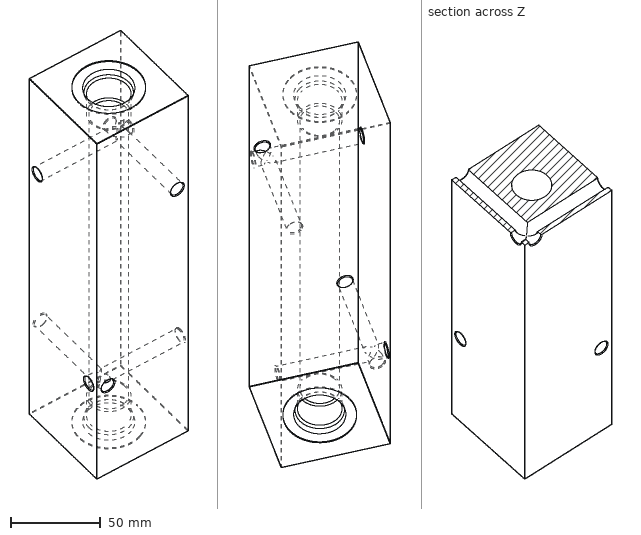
import cadquery as cq
import math

length = 266.7
width = 63.5
edge_chamfer = 0.3

spotface_diameter = 41.0
spotface_depth = 0.8
seat_mouth_diameter = 29.0
seat_floor_diameter = 27.5
seat_depth = 3.5
thread_diameter = 24.8
thread_depth = 21.3
bore_diameter = 22.1
drill_tip_angle = 118.0

cross_hole_diameter = 8.5
cross_hole_mouth_diameter = 9.5
cross_hole_offset = 24.0
cross_hole_height = 63.5


def port_cutter():
    """Revolved profile of the through bore with a port at each end."""
    thread_chamfer = (seat_floor_diameter - thread_diameter) / 2
    tip_width = (thread_diameter - bore_diameter) / 2
    tip_height = tip_width / math.tan(math.radians(drill_tip_angle / 2))
    spotface_z = length / 2 - spotface_depth
    seat_z = spotface_z - seat_depth
    thread_end_z = length / 2 - thread_depth
    upper = [
        (bore_diameter / 2, thread_end_z - tip_height),
        (thread_diameter / 2, thread_end_z),
        (thread_diameter / 2, seat_z - thread_chamfer),
        (seat_floor_diameter / 2, seat_z),
        (seat_mouth_diameter / 2, spotface_z),
        (spotface_diameter / 2, spotface_z),
        (spotface_diameter / 2, length / 2),
        (0, length / 2),
    ]
    lower = [(radius, -z) for radius, z in reversed(upper)]
    profile = cq.Workplane("XZ").polyline(upper + lower).close()
    return profile.revolve(360, (0, 0, 0), (0, 1, 0))


def cross_hole_cutter():
    """Cutter along Z for one cross hole, chamfered at both mouths."""
    hole_radius = cross_hole_diameter / 2
    mouth_radius = cross_hole_mouth_diameter / 2
    chamfer = mouth_radius - hole_radius
    upper = [
        (hole_radius, width / 2 - chamfer),
        (mouth_radius, width / 2),
        (0, width / 2),
    ]
    lower = [(radius, -z) for radius, z in reversed(upper)]
    profile = cq.Workplane("XZ").polyline(upper + lower).close()
    return profile.revolve(360, (0, 0, 0), (0, 1, 0))


bar = cq.Workplane("XY").box(width, width, length).edges().chamfer(edge_chamfer)
result = bar.cut(port_cutter())

hole_along_y = cross_hole_cutter().rotate((0, 0, 0), (1, 0, 0), 90)
hole_along_x = cross_hole_cutter().rotate((0, 0, 0), (0, 1, 0), 90)
for side in (1, -1):
    offset = side * cross_hole_offset
    height = side * cross_hole_height
    result = result.cut(hole_along_y.translate((-offset, 0, height)))
    result = result.cut(hole_along_x.translate((0, offset, height)))